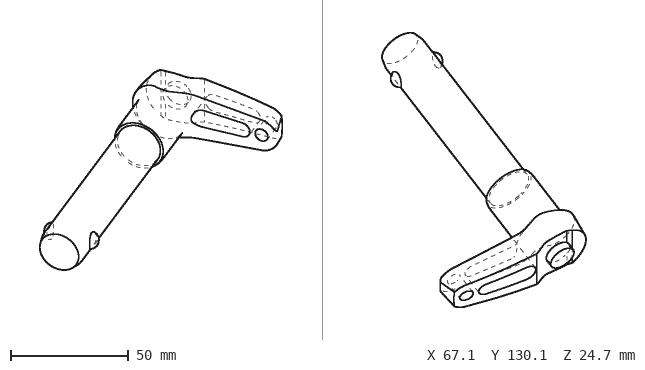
import cadquery as cq


shank_dia = 20.0
shank_length = 87.05
tip_dia = 18.0
tip_taper_length = 4.0

ball_radius = 3.9
ball_reach = 12.4
ball_y = -73.6

collar_dia = 23.3
collar_lip_dia = 23.1
collar_end_dia = 22.5
collar_chamfer_length = 1.2
collar_taper_start_y = 3.3
collar_top_y = 23.3
flare_radius = 5.8

button_dia = 11.7
button_top_y = 43.05

handle_width = 24.7
hub_end_x = -15.05
hub_arc_end_x = -4.5
side_flat_end_x = -1.4
side_blend_end = (1.3, 12.23)
side_blend_radius = 24.7
tip_arc_start = (46.1, 7.75)
tip_arc_mid = (50.2, 5.5)
tip_arc_end_half_width = 2.8

hub_top_y = 40.2
hub_top_end_x = -6.8
recess_y = 39.4
recess_half_length = 4.5
hump = (12.3, 42.15)
hump_slope = 0.3
back_mid = (31.0, 40.3)
back_end = (50.7, 36.9)

arm_corner_radius = 52.3
arm_corner_y = 27.1
arm_end_fillet = 1.2

cone_bottom_y = 28.3
cone_top_radius = 13.7

slot_start_x = 12.8
slot_start_half_width = 4.35
slot_end_x = 39.5
slot_end_half_width = 3.5
tip_hole_x = 45.05
tip_hole_dia = 6.0

half_width = handle_width / 2
flare_outer_radius = collar_dia / 2 + flare_radius
flare_top_y = collar_top_y + flare_radius


def revolve_about_pin(profile):
    return profile.close().revolve(360, (0, 0, 0), (0, 1, 0))


def extrude_along_pin(outline):
    """Extrude an XZ outline from the shoulder up to the button top."""
    return outline.extrude(-button_top_y)


def make_pin():
    """Shank with tapered tip, and the collar up to the handle flare."""
    return revolve_about_pin(
        cq.Workplane("XY")
        .moveTo(0, -shank_length)
        .lineTo(tip_dia / 2, -shank_length)
        .lineTo(shank_dia / 2, tip_taper_length - shank_length)
        .lineTo(shank_dia / 2, 0)
        .lineTo(collar_end_dia / 2, 0)
        .lineTo(collar_lip_dia / 2, collar_chamfer_length)
        .lineTo(collar_dia / 2, collar_taper_start_y)
        .lineTo(collar_dia / 2, collar_top_y)
        .lineTo(0, collar_top_y)
    )


def make_ball(side):
    """Locking ball on the +X (side = 1) or -X (side = -1) side of the shank."""
    ball_x = side * (ball_reach - ball_radius)
    return cq.Workplane("XY").sphere(ball_radius).translate((ball_x, ball_y, 0))


def make_button():
    return extrude_along_pin(cq.Workplane("XZ").circle(button_dia / 2))


def make_handle_envelope():
    """Revolved body: concave flare, conical underside and drafted arm end."""
    end_draft = (arm_corner_radius - back_end[0]) / (back_end[1] - arm_corner_y)
    top_radius = arm_corner_radius - end_draft * (button_top_y - arm_corner_y)
    envelope = revolve_about_pin(
        cq.Workplane("XY")
        .moveTo(0, collar_top_y)
        .lineTo(collar_dia / 2, collar_top_y)
        .radiusArc((flare_outer_radius, flare_top_y), flare_radius)
        .lineTo(arm_corner_radius, arm_corner_y)
        .lineTo(top_radius, button_top_y)
        .lineTo(0, button_top_y)
    )
    arm_corner = cq.selectors.RadiusNthSelector(-1)
    return envelope.edges(arm_corner).fillet(arm_end_fillet)


def make_handle_side():
    """Side shape with flat hub top, recess at the button, hump and curved back."""
    return (
        cq.Workplane("XY")
        .moveTo(hub_end_x, 0)
        .lineTo(hub_end_x, hub_top_y)
        .lineTo(hub_top_end_x, hub_top_y)
        .lineTo(-recess_half_length, recess_y)
        .lineTo(recess_half_length, recess_y)
        .spline([hump], tangents=[(1, 0), (1, hump_slope)], includeCurrent=True)
        .threePointArc(back_mid, back_end)
        .lineTo(arm_corner_radius, back_end[1])
        .lineTo(arm_corner_radius, 0)
        .close()
        .extrude(half_width, both=True)
    )


def make_handle_outline():
    """Round hub, tapering arm and rounded arm end."""
    blend_x, blend_z = side_blend_end
    start_x, start_z = tip_arc_start
    mid_x, mid_z = tip_arc_mid
    return extrude_along_pin(
        cq.Workplane("XZ")
        .moveTo(hub_arc_end_x, -half_width)
        .threePointArc((hub_end_x, 0), (hub_arc_end_x, half_width))
        .lineTo(side_flat_end_x, half_width)
        .radiusArc((blend_x, blend_z), side_blend_radius)
        .lineTo(start_x, start_z)
        .threePointArc((mid_x, mid_z), (arm_corner_radius, tip_arc_end_half_width))
        .lineTo(arm_corner_radius, -tip_arc_end_half_width)
        .threePointArc((mid_x, -mid_z), (start_x, -start_z))
        .lineTo(blend_x, -blend_z)
        .radiusArc((side_flat_end_x, -half_width), side_blend_radius)
        .close()
    )


def make_hub_end_trim():
    """Material outside the cone that drafts the hub end, on the -X side only."""
    trim_radius = handle_width
    ring = revolve_about_pin(
        cq.Workplane("XY")
        .moveTo(-hub_end_x, cone_bottom_y)
        .lineTo(trim_radius, cone_bottom_y)
        .lineTo(trim_radius, hub_top_y)
        .lineTo(cone_top_radius, hub_top_y)
    )
    arm_side = cq.Workplane("XY").box(
        trim_radius, 2 * button_top_y, 2 * trim_radius, centered=(False, True, True)
    )
    return ring.cut(arm_side)


def make_slot():
    """Tapered slot with round ends."""
    start_x = slot_start_x + slot_start_half_width
    end_x = slot_end_x - slot_end_half_width
    return extrude_along_pin(
        cq.Workplane("XZ")
        .moveTo(start_x, slot_start_half_width)
        .lineTo(end_x, slot_end_half_width)
        .threePointArc((slot_end_x, 0), (end_x, -slot_end_half_width))
        .lineTo(start_x, -slot_start_half_width)
        .threePointArc((slot_start_x, 0), (start_x, slot_start_half_width))
        .close()
    )


def make_tip_hole():
    return extrude_along_pin(cq.Workplane("XZ").center(tip_hole_x, 0).circle(tip_hole_dia / 2))


def make_handle():
    handle = make_handle_envelope().intersect(make_handle_side()).intersect(make_handle_outline())
    return handle.cut(make_hub_end_trim()).cut(make_slot()).cut(make_tip_hole())


result = make_pin().union(make_handle()).union(make_button())
for ball_side in (-1, 1):
    result = result.union(make_ball(ball_side))